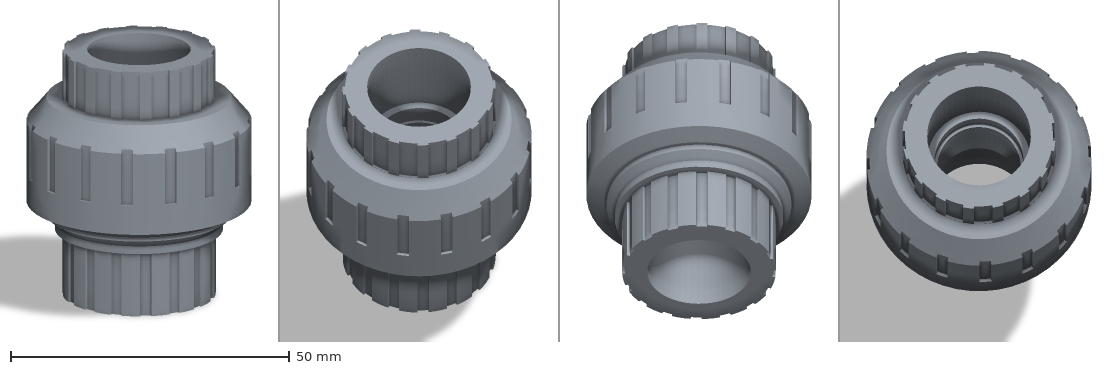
import cadquery as cq

total_height = 46.0
collar_bottom = 12.2
collar_cone_bottom = 13.65
collar_cone_top = 15.05
nut_bottom = 16.05
nut_lower_edge = 17.5
nut_notch_bottom = 23.0
joint_height = 27.6
nut_upper_edge = 32.7
nut_top = 37.05

spigot_core_diameter = 26.6
spigot_rib_diameter = 27.6
tail_diameter = 27.5
tail_groove_diameter = 26.6
collar_step_diameter = 30.25
collar_diameter = 33.25
nut_diameter = 40.5
nut_top_diameter = 33.25
nut_bottom_diameter = 34.7
nut_notch_diameter = 39.38
nut_mouth_diameter = 27.6
socket_diameter = 18.65
tail_bore_diameter = 16.0
body_bore_diameter = 15.0

grip_count = 16
grip_width = 3.35
nut_notch_width = 2.1
socket_depth = 15.0


def cylinder(diameter, bottom, top):
    """Upright cylinder on the common axis."""
    return cq.Workplane("XY").workplane(offset=bottom).circle(diameter / 2).extrude(top - bottom)


def revolved(profile):
    """Solid of revolution from (radius, height) points closed along the axis."""
    return cq.Workplane("XZ").polyline(profile).close().revolve(360, (0, 0, 0), (0, 1, 0))


def curved_bars(width, inner_diameter, outer_diameter, bottom, top):
    """Equally spaced upright bars, flat-sided, bounded inside and outside by cylinders."""
    ring = cylinder(outer_diameter, bottom, top).cut(cylinder(inner_diameter, bottom, top))
    bars = cq.Workplane("XY")
    for index in range(grip_count):
        strip = (
            cq.Workplane("XY")
            .box(outer_diameter, width, top - bottom, centered=(False, True, False))
            .translate((0, 0, bottom))
            .rotate((0, 0, 0), (0, 0, 1), index * 360 / grip_count)
        )
        bars = bars.add(ring.intersect(strip))
    return cq.Workplane(cq.Compound.makeCompound(bars.vals()))


def make_body():
    """Lower body: ribbed spigot, stepped collar, socket and through bore."""
    collar_radius = collar_diameter / 2
    step_radius = collar_step_diameter / 2
    core_radius = spigot_core_diameter / 2
    shape = revolved([
        (0, 0),
        (core_radius, 0),
        (core_radius, collar_bottom),
        (step_radius, collar_bottom),
        (step_radius, collar_cone_bottom),
        (collar_radius, collar_cone_top),
        (collar_radius, joint_height),
        (0, joint_height),
    ])
    ribs = curved_bars(grip_width, spigot_core_diameter, spigot_rib_diameter, 0, collar_bottom)
    shape = shape.union(ribs)
    shape = shape.cut(cylinder(body_bore_diameter, 0, joint_height))
    return shape.cut(cylinder(socket_diameter, 0, socket_depth))


def make_tail_piece():
    """Upper tail piece: grooved tube with a flange held under the nut lip."""
    flange = cylinder(collar_diameter, joint_height, nut_upper_edge)
    shape = flange.union(cylinder(tail_diameter, joint_height, total_height))
    grooves = curved_bars(grip_width, tail_groove_diameter, tail_diameter, nut_top, total_height)
    shape = shape.cut(grooves)
    shape = shape.cut(cylinder(tail_bore_diameter, joint_height, total_height))
    return shape.cut(cylinder(socket_diameter, total_height - socket_depth, total_height))


def make_nut():
    """Union nut: bevelled ring with notches, hollow below its inward lip."""
    nut_radius = nut_diameter / 2
    shape = revolved([
        (0, nut_bottom),
        (nut_bottom_diameter / 2, nut_bottom),
        (nut_radius, nut_lower_edge),
        (nut_radius, nut_upper_edge),
        (nut_top_diameter / 2, nut_top),
        (0, nut_top),
    ])
    shape = shape.cut(cylinder(nut_mouth_diameter, nut_bottom, nut_top))
    shape = shape.cut(cylinder(collar_diameter, nut_bottom, nut_upper_edge))
    notches = curved_bars(nut_notch_width, nut_notch_diameter, nut_diameter, nut_notch_bottom, nut_top)
    return shape.cut(notches)


body = make_body()
tail_piece = make_tail_piece()
nut = make_nut()
result = cq.Compound.makeCompound([
    body.solids().val(),
    tail_piece.solids().val(),
    nut.solids().val(),
])